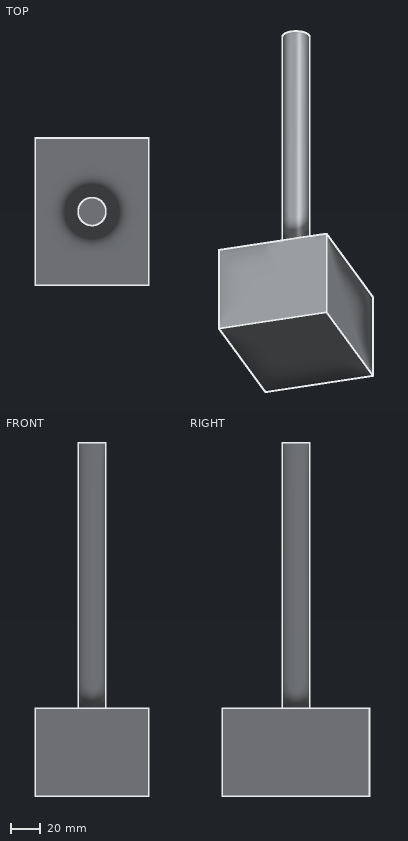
import cadquery as cq

total_height = 240.0

head_width = 77.0
head_depth = 100.0
head_height = 60.0

handle_diameter = 19.0
handle_length = total_height - head_height

head = cq.Workplane("XY").box(head_width, head_depth, head_height, centered=(True, True, False))

result = head.faces(">Z").workplane().circle(handle_diameter / 2).extrude(handle_length)